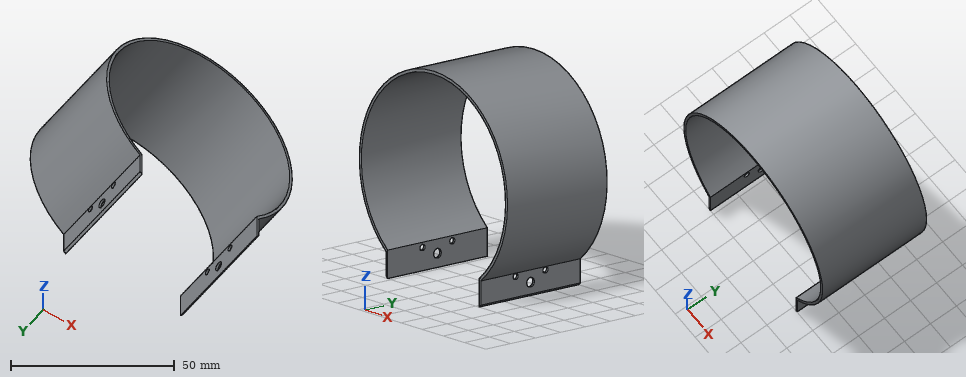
import cadquery as cq
import math

overall_height = 70.35
band_width = 40.0
outer_diameter = 70.0
wall = 1.0
leg_outer_x = 22.4
leg_thickness = 0.8
large_hole_diameter = 3.0
large_hole_height = 4.5
small_hole_diameter = 2.0
small_hole_height = 7.4
small_hole_spacing = 11.95

outer_radius = outer_diameter / 2
inner_radius = outer_radius - wall
leg_inner_x = leg_outer_x - leg_thickness
outer_corner_z = -math.sqrt(outer_radius**2 - leg_outer_x**2)
inner_corner_z = -math.sqrt(inner_radius**2 - leg_inner_x**2)
tip_z = outer_radius - overall_height
bevel_top_z = tip_z + leg_thickness


def make_clamp():
    """Open band with two vertical legs, centred along Y."""
    return (
        cq.Workplane("XZ")
        .moveTo(-leg_outer_x, outer_corner_z)
        .threePointArc((0, outer_radius), (leg_outer_x, outer_corner_z))
        .lineTo(leg_outer_x, bevel_top_z)
        .lineTo(leg_inner_x, tip_z)
        .lineTo(leg_inner_x, inner_corner_z)
        .threePointArc((0, inner_radius), (-leg_inner_x, inner_corner_z))
        .lineTo(-leg_inner_x, tip_z)
        .lineTo(-leg_outer_x, bevel_top_z)
        .close()
        .extrude(band_width / 2, both=True)
    )


def leg_drill(y, height, diameter):
    """Cylinder along X that passes through both legs."""
    return (
        cq.Workplane("YZ")
        .center(y, tip_z + height)
        .circle(diameter / 2)
        .extrude(outer_radius, both=True)
    )


result = make_clamp()
result = result.cut(leg_drill(0, large_hole_height, large_hole_diameter))
for side in (-1, 1):
    result = result.cut(leg_drill(side * small_hole_spacing / 2, small_hole_height, small_hole_diameter))